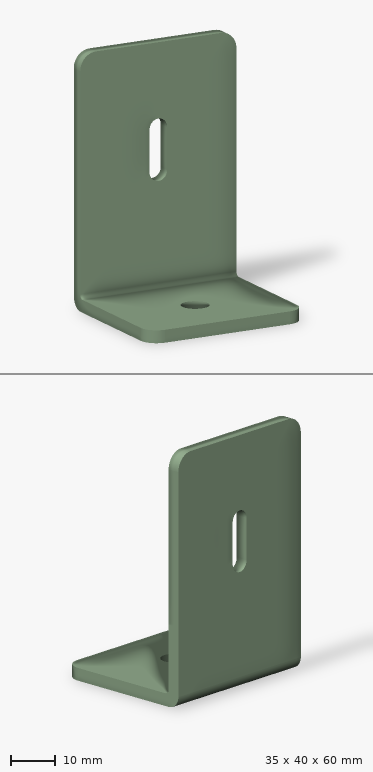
import cadquery as cq

base_length = 35.0
width = 40.0
height = 60.0
thickness = 3.0

outer_bend_radius = 3.0
inner_bend_radius = 1.0
corner_radius = 4.0

hole_diameter = 6.5
hole_x = 20.0

slot_width = 4.5
slot_length = 14.5
slot_center_z = 35.0


def bent_sheet():
    """L-shaped sheet, centred on Y, with a rounded bend along the Y axis."""
    profile = (
        cq.Workplane("XZ")
        .moveTo(0, 0)
        .lineTo(base_length, 0)
        .lineTo(base_length, thickness)
        .lineTo(thickness, thickness)
        .lineTo(thickness, height)
        .lineTo(0, height)
        .close()
    )
    sheet = profile.extrude(width / 2, both=True)
    sheet = sheet.edges(cq.NearestToPointSelector((0, 0, 0))).fillet(outer_bend_radius)
    inner_corner = (thickness, 0, thickness)
    return sheet.edges(cq.NearestToPointSelector(inner_corner)).fillet(inner_bend_radius)


def round_free_corners(sheet):
    """Round the two end corners of the base and the two top corners of the wall."""
    sheet = sheet.faces(">X").edges("|Z").fillet(corner_radius)
    return sheet.faces(">Z").edges("|X").fillet(corner_radius)


def base_hole():
    return cq.Workplane("XY").center(hole_x, 0).circle(hole_diameter / 2).extrude(thickness)


def wall_slot():
    return (
        cq.Workplane("YZ")
        .center(0, slot_center_z)
        .slot2D(slot_length, slot_width, angle=90)
        .extrude(thickness)
    )


result = round_free_corners(bent_sheet()).cut(base_hole()).cut(wall_slot())